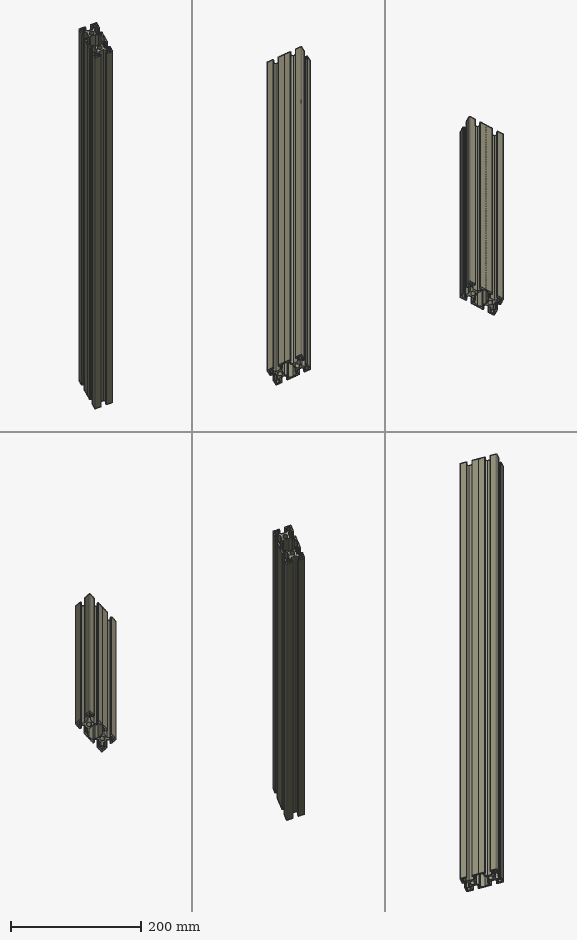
import cadquery as cq

length = 914.0
cell = 30.0
width = 2 * cell
depth = cell
core_offset = cell / 2
corner_radius = 1.0

slot_mouth = 9.0
slot_opening = 8.0
lip_chamfer_depth = 1.0
lip_thickness = 3.0
slot_width = 14.0
slot_floor_width = 7.0
slot_shoulder = 5.5
slot_depth = 8.7

core_hole_diameter = 7.0

corner_hollow_size = 5.0
corner_wall = 2.3

cavity_width = 20.0
cavity_end_width = 14.0
cavity_straight_height = 9.0
cavity_shoulder_height = 24.0
cavity_peak_height = 27.0


def slot_cutter(x, y, turn):
    """T-slot with its mouth centred on (x, y); at zero turn it runs in towards -Y."""
    half = [
        (slot_mouth / 2, 0),
        (slot_opening / 2, -lip_chamfer_depth),
        (slot_opening / 2, -lip_thickness),
        (slot_width / 2, -lip_thickness),
        (slot_width / 2, -slot_shoulder),
        (slot_floor_width / 2, -slot_depth),
    ]
    other_half = [(-px, py) for px, py in reversed(half)]
    slot = cq.Workplane("XY").polyline(half + other_half).close().extrude(length)
    return slot.rotate((0, 0, 0), (0, 0, 1), turn).translate((x, y, 0))


def cavity_cutter():
    """Central cavity, widest at mid-depth, with a peaked roof at each end."""
    taper_height = (cavity_width - cavity_end_width) / 2
    quarter = [
        (cavity_width / 2, cavity_straight_height / 2),
        (cavity_end_width / 2, cavity_straight_height / 2 + taper_height),
        (cavity_end_width / 2, cavity_shoulder_height / 2),
    ]
    peak = (0, cavity_peak_height / 2)
    upper = quarter + [peak] + [(-x, y) for x, y in reversed(quarter)]
    lower = [(-x, -y) for x, y in upper]
    return cq.Workplane("XY").polyline(upper + lower).close().extrude(length)


def core_hole_cutter():
    centres = cq.Workplane("XY").pushPoints([(-core_offset, 0), (core_offset, 0)])
    return centres.circle(core_hole_diameter / 2).extrude(length)


def corner_hollow_cutter():
    inset = corner_wall + corner_hollow_size / 2
    frame = cq.Workplane("XY").rect(width - 2 * inset, depth - 2 * inset, forConstruction=True)
    return frame.vertices().rect(corner_hollow_size, corner_hollow_size).extrude(length)


bar = cq.Workplane("XY").rect(width, depth).extrude(length)
bar = bar.edges("|Z").fillet(corner_radius)

for side in (-1, 1):
    bar = bar.cut(slot_cutter(side * core_offset, depth / 2, 0))
    bar = bar.cut(slot_cutter(side * core_offset, -depth / 2, 180))
    bar = bar.cut(slot_cutter(side * width / 2, 0, -90 * side))

bar = bar.cut(cavity_cutter())
bar = bar.cut(core_hole_cutter())
bar = bar.cut(corner_hollow_cutter())

result = bar